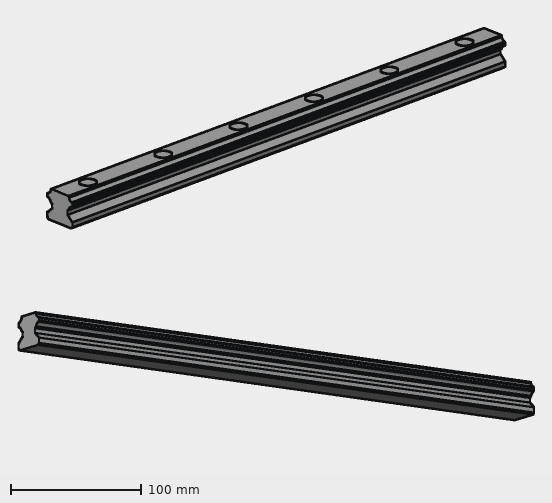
import cadquery as cq

length = 460.0
width = 28.0
height = 26.0

base_chamfer = 1.5
foot_top = 6.0
foot_chamfer = 0.5
neck_half_width = 8.7
neck_bottom = 10.0
neck_top = 14.0
top_half_width = 10.0
top_chamfer = 0.5

lower_groove_bottom = 15.0
upper_groove_top = 25.0
head_tip_half_height = 1.0
head_chamfer = 1.0
groove_sag = 0.55

hole_count = 6
hole_pitch = 80.0
hole_diameter = 14.0
cap_recess = 0.5

half_width = width / 2
head_middle = (lower_groove_bottom + upper_groove_top) / 2
head_rim_half_width = half_width - head_chamfer
head_rim_offset = head_tip_half_height + head_chamfer


def rail_profile():
    """Closed section: the right flank drawn from base to top, then mirrored."""
    right_half = (
        cq.Workplane("XZ")
        .lineTo(half_width - base_chamfer, 0)
        .lineTo(half_width, base_chamfer)
        .lineTo(half_width, foot_top - foot_chamfer)
        .lineTo(half_width - foot_chamfer, foot_top)
        .lineTo(neck_half_width, neck_bottom)
        .lineTo(neck_half_width, neck_top)
        .lineTo(top_half_width, lower_groove_bottom)
        .sagittaArc((head_rim_half_width, head_middle - head_rim_offset), groove_sag)
        .lineTo(half_width, head_middle - head_tip_half_height)
        .lineTo(half_width, head_middle + head_tip_half_height)
        .lineTo(head_rim_half_width, head_middle + head_rim_offset)
        .sagittaArc((top_half_width, upper_groove_top), groove_sag)
        .lineTo(top_half_width, height - top_chamfer)
        .lineTo(top_half_width - top_chamfer, height)
        .lineTo(0, height)
    )
    return right_half.mirrorY()


def cap_recesses():
    """Shallow round recesses that mark the capped holes, centred along the rail."""
    return (
        cq.Workplane("XY", origin=(0, 0, height - cap_recess))
        .rarray(4.5, hole_pitch, 1, hole_count)
        .circle(hole_diameter / 2)
        .extrude(cap_recess)
    )


rail = rail_profile().extrude(length / 2, both=True)
result = rail.cut(cap_recesses())